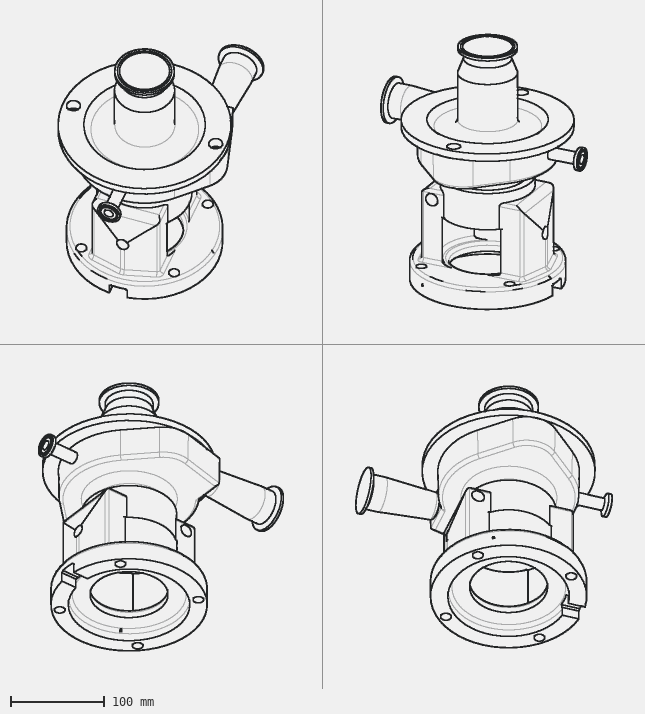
import cadquery as cq
import math

base_top = 24.3
hub_bottom = 78.5
leg_top = 108.5
hub_top = 120.7
casing_bottom = 140.0
flange_bottom = 176.3
flange_top = 185.0
overall_height = 270.0

overlap = 2.7
margin = 0.3

base_radius = 83.5
base_edge_fillet = 3.5
base_bore_radius = 41.5
base_bore_fillet = 3.5
base_pocket_radius = 64.8
base_pocket_depth = 13.5
base_pocket_fillet = 4.0
base_hole_circle = 74.5
base_hole_radius = 5.7
notch_width = 20.2
notch_height = 13.0
notch_corner = 2.0
vent_radius = 1.0
vent_angle = 150.0

leg_half_width = 38.3
leg_ridge_offset = 70.0
leg_ridge_width = 4.0
leg_face_angle = 15.0
roof_apex_height = 68.0
leg_inner_radius = 51.8
leg_corner_fillet = 3.5
leg_top_fillet = 10.0
leg_foot_fillet = 4.0
leg_root = base_top - overlap
leg_hole_height = 66.5
leg_hole_radius = 6.8
leg_slit_width = 2.5
cross_hole_offset = 47.5
cross_hole_height = 97.2
cross_hole_radius = 7.0

hub_radius = 50.8
collar_radius = 41.5
collar_fillet = 9.7

casing_radius = 75.5
casing_half_length = 93.0
casing_draft = 1.2
casing_fillet = 4.0
block_face = 62.0
block_corner_x = 78.0

flange_radius = 92.3
dish_rim_radius = 64.8
dish_wall_radius = 57.5
dish_wall_depth = dish_rim_radius - dish_wall_radius
dish_low_radius = 46.7
dish_depth = 12.5
bolt_offset = 80.7
bolt_recess_radius = 7.3
bolt_recess_depth = 12.2
bolt_hole_radius = 5.5
bolt_hole_depth = 27.0

neck_radius = 32.0
neck_shoulder = 239.5
neck_cone_top = 256.0
inlet_tube_radius = 25.6
inlet_rim_radius = 31.9
inlet_rim_thickness = 3.2
inlet_rim_taper = 2.0
inlet_groove_radius = 27.8
inlet_groove_half_width = 1.0

outlet_x = 58.0
outlet_z = 157.5
outlet_end = 144.0
outlet_rim_radius = 25.5
outlet_rim_thickness = 3.0
outlet_rim_taper = 2.5
outlet_tube_radius = 19.2
outlet_straight_length = 20.2
outlet_small_radius = 15.0
outlet_round = 4.3
outlet_root = block_face - 3 * overlap

drain_z = 160.5
drain_end = 112.5
drain_rim_radius = 12.7
drain_rim_thickness = 3.8
drain_rim_taper = 2.7
drain_tube_radius = 6.8
drain_bore_radius = 5.0
drain_groove_radius = 9.7
drain_groove_half_width = 0.8
drain_root = casing_radius - 2 * overlap


def cylinder(radius, bottom, top, x=0.0, y=0.0):
    return cq.Workplane("XY", origin=(x, y, bottom)).circle(radius).extrude(top - bottom)


def spin(profile):
    """Close a radius-height profile and revolve it about the Z axis."""
    return profile.close().revolve(360, (0, 0, 0), (0, 1, 0))


def ferrule(path, end, rim_radius, tube_radius, rim_thickness, rim_taper):
    """Continue a profile along the tube, out to the clamp rim and back to the axis."""
    return (
        path.lineTo(tube_radius, end - rim_thickness - rim_taper)
        .lineTo(rim_radius, end - rim_thickness)
        .lineTo(rim_radius, end)
        .lineTo(0, end)
    )


def gasket_groove(end, radius, half_width):
    """Ring with a round section, cut into the end face of a ferrule."""
    section = cq.Workplane("XZ").center(radius, end).circle(half_width)
    return section.revolve(360, (-radius, 0, 0), (-radius, 1, 0))


def make_base():
    return cylinder(base_radius, 0, base_top).faces(">Z").edges().fillet(base_edge_fillet)


def make_front_leg():
    """Common volume of a plan outline, a side outline with a sloping roof and a front outline."""
    slope = math.tan(math.radians(leg_face_angle))
    half_ridge = leg_ridge_width / 2
    corner_offset = leg_ridge_offset - slope * (leg_half_width - half_ridge)
    plan = (
        cq.Workplane("XY", origin=(0, 0, leg_root))
        .polyline(
            [
                (-leg_half_width, 0),
                (-leg_half_width, -corner_offset),
                (-half_ridge, -leg_ridge_offset),
                (half_ridge, -leg_ridge_offset),
                (leg_half_width, -corner_offset),
                (leg_half_width, 0),
            ]
        )
        .close()
        .extrude(leg_top - leg_root)
    )
    corners = cq.selectors.BoxSelector(
        (-leg_half_width - margin, -corner_offset - margin, leg_root),
        (leg_half_width + margin, -corner_offset + margin, leg_top),
    )
    plan = plan.edges("|Z").edges(corners).fillet(leg_corner_fillet)

    roof_offset = leg_ridge_offset - slope * (leg_top - roof_apex_height)
    side = (
        cq.Workplane("YZ", origin=(-leg_half_width, 0, 0))
        .polyline(
            [
                (0, leg_root),
                (-leg_ridge_offset, leg_root),
                (-leg_ridge_offset, roof_apex_height),
                (-roof_offset, leg_top),
                (0, leg_top),
            ]
        )
        .close()
        .extrude(2 * leg_half_width)
    )
    side = side.faces(">Z").edges("<Y").fillet(leg_top_fillet)

    front_height = leg_top - leg_root
    front = cq.Workplane("XY", origin=(0, 0, leg_root + front_height / 2)).box(
        2 * leg_half_width, 2 * leg_ridge_offset, front_height
    )
    front = front.faces(">Z").edges("|Y").fillet(leg_corner_fillet)
    leg = plan.intersect(side).intersect(front)
    return leg.cut(cylinder(leg_inner_radius, leg_root, hub_bottom))


def make_stand():
    front_leg = make_front_leg()
    rear_leg = front_leg.rotate((0, 0, 0), (0, 0, 1), 180)
    stand = make_base().union(front_leg).union(rear_leg)
    foot_edges = cq.selectors.BoxSelector(
        (-leg_half_width - margin, -leg_ridge_offset - margin, base_top - margin),
        (leg_half_width + margin, leg_ridge_offset + margin, base_top + margin),
    )
    return stand.edges(foot_edges).fillet(leg_foot_fillet)


def cut_base_openings(stand):
    """Rounded bore, pocket in the underside, four bolt holes, the notch on the -Y side and a vent."""
    bore_mouth = base_bore_radius + base_bore_fillet
    fillet_mid = base_bore_fillet * (1 - math.sqrt(0.5))
    bore = spin(
        cq.Workplane("XZ")
        .lineTo(base_bore_radius, 0)
        .lineTo(base_bore_radius, base_top - base_bore_fillet)
        .threePointArc((base_bore_radius + fillet_mid, base_top - fillet_mid), (bore_mouth, base_top))
        .lineTo(0, base_top)
    )
    pocket = cylinder(base_pocket_radius, 0, base_pocket_depth)
    pocket = pocket.faces(">Z").edges().fillet(base_pocket_fillet)
    stand = stand.cut(bore).cut(pocket)
    for hole in range(4):
        angle = math.radians(45 + 90 * hole)
        x = base_hole_circle * math.cos(angle)
        y = base_hole_circle * math.sin(angle)
        stand = stand.cut(cylinder(base_hole_radius, 0, base_top, x, y))
    notch = (
        cq.Workplane("XY", origin=(0, -base_radius / 2, notch_height / 2))
        .box(notch_width, base_radius, notch_height)
        .faces(">Z")
        .edges("|Y")
        .chamfer(notch_corner)
    )
    vent_inner_end = base_pocket_radius - base_pocket_fillet
    vent = (
        cq.Workplane("YZ", origin=(vent_inner_end, 0, base_top / 2))
        .circle(vent_radius)
        .extrude(base_radius - vent_inner_end)
        .rotate((0, 0, 0), (0, 0, 1), vent_angle)
    )
    return stand.cut(notch).cut(vent)


def cut_leg_openings(stand):
    """Round hole through the front leg and slit through the rear leg."""
    leg_hole = (
        cq.Workplane("XZ", origin=(0, 0, leg_hole_height))
        .circle(leg_hole_radius)
        .extrude(leg_ridge_offset)
    )
    slit = cq.Workplane("XY", origin=(0, leg_ridge_offset / 2, leg_hole_height)).box(
        leg_slit_width, leg_ridge_offset, 2 * leg_hole_radius
    )
    return stand.cut(leg_hole).cut(slit)


def make_cross_hole():
    """Hole along X through the rear leg and the hub wall behind it."""
    return (
        cq.Workplane("YZ")
        .center(cross_hole_offset, cross_hole_height)
        .circle(cross_hole_radius)
        .extrude(leg_half_width, both=True)
    )


def make_hub():
    """Hub and collar, blending into the underside of the casing with a concave round."""
    casing_inside = casing_bottom + overlap
    fillet_low = casing_bottom - collar_fillet
    fillet_out = collar_radius + collar_fillet
    fillet_mid = collar_fillet * math.sqrt(0.5)
    return spin(
        cq.Workplane("XZ")
        .moveTo(0, hub_bottom)
        .lineTo(hub_radius, hub_bottom)
        .lineTo(hub_radius, hub_top)
        .lineTo(collar_radius, hub_top)
        .lineTo(collar_radius, fillet_low)
        .threePointArc((fillet_out - fillet_mid, fillet_low + fillet_mid), (fillet_out, casing_bottom))
        .lineTo(fillet_out, casing_inside)
        .lineTo(0, casing_inside)
    )


def make_casing():
    """Round body with flats at 45 degrees running tangent into the two bolt bosses."""
    diagonal = math.sqrt(0.5)
    boss_radius = (casing_radius - casing_half_length * diagonal) / (1 - diagonal)
    boss_x = casing_half_length - boss_radius
    body_point = casing_radius * diagonal
    boss_point_x = boss_x + boss_radius * diagonal
    boss_point_y = boss_radius * diagonal
    corner_dx = block_corner_x - boss_x
    corner_angle = math.atan2(block_face, corner_dx)
    tangent_angle = corner_angle - math.acos(boss_radius / math.hypot(corner_dx, block_face))
    block_tangent = (
        boss_x + boss_radius * math.cos(tangent_angle),
        boss_radius * math.sin(tangent_angle),
    )
    block_inner_x = math.sqrt(casing_radius**2 - block_face**2)
    outline = (
        cq.Workplane("XY", origin=(0, 0, flange_bottom))
        .moveTo(body_point, -body_point)
        .threePointArc((0, -casing_radius), (-body_point, -body_point))
        .lineTo(-boss_point_x, -boss_point_y)
        .threePointArc((-casing_half_length, 0), (-boss_point_x, boss_point_y))
        .lineTo(-body_point, body_point)
        .threePointArc((0, casing_radius), (block_inner_x, block_face))
        .lineTo(block_corner_x, block_face)
        .lineTo(*block_tangent)
        .threePointArc((casing_half_length, 0), (boss_point_x, -boss_point_y))
        .close()
    )
    casing = outline.extrude(flange_bottom - casing_bottom, taper=casing_draft)
    casing = casing.mirror("XY", (0, 0, flange_bottom))
    return casing.faces("<Z").edges().fillet(casing_fillet)


def make_flange():
    return cylinder(flange_radius, flange_bottom, flange_top)


def cut_dish(body):
    """Annular dish around the inlet neck: a conical wall and a round floor."""
    dish = spin(
        cq.Workplane("XZ")
        .moveTo(neck_radius, flange_top)
        .lineTo(dish_rim_radius, flange_top)
        .lineTo(dish_wall_radius, flange_top - dish_wall_depth)
        .threePointArc((dish_low_radius, flange_top - dish_depth), (neck_radius, flange_top))
    )
    return body.cut(dish)


def cut_bolt_holes(body):
    """Two blind holes with a wider mouth and a conical end."""
    straight_end = flange_top - bolt_hole_depth
    mouth_end = flange_top - bolt_recess_depth
    for x in (-bolt_offset, bolt_offset):
        hole = spin(
            cq.Workplane("XZ")
            .moveTo(0, flange_top)
            .lineTo(bolt_recess_radius, flange_top)
            .lineTo(bolt_recess_radius, mouth_end)
            .lineTo(bolt_hole_radius, mouth_end)
            .lineTo(bolt_hole_radius, straight_end)
            .lineTo(0, straight_end - bolt_hole_radius / 2)
        )
        body = body.cut(hole.translate((x, 0, 0)))
    return body


def make_inlet():
    root = flange_top - dish_depth
    path = (
        cq.Workplane("XZ")
        .moveTo(0, root)
        .lineTo(neck_radius, root)
        .lineTo(neck_radius, neck_shoulder)
        .lineTo(inlet_tube_radius, neck_cone_top)
    )
    inlet = spin(
        ferrule(
            path,
            overall_height,
            inlet_rim_radius,
            inlet_tube_radius,
            inlet_rim_thickness,
            inlet_rim_taper,
        )
    )
    return inlet.cut(gasket_groove(overall_height, inlet_groove_radius, inlet_groove_half_width))


def make_outlet():
    """Tapered tube with a rounded inner end; built upright, then laid along +Y."""
    path = (
        cq.Workplane("XZ")
        .moveTo(0, outlet_root)
        .lineTo(outlet_small_radius - outlet_round, outlet_root)
        .lineTo(outlet_small_radius - outlet_round, block_face)
        .radiusArc((outlet_small_radius, block_face + outlet_round), -outlet_round)
        .lineTo(outlet_tube_radius, outlet_end - outlet_straight_length)
    )
    outlet = spin(
        ferrule(
            path,
            outlet_end,
            outlet_rim_radius,
            outlet_tube_radius,
            outlet_rim_thickness,
            outlet_rim_taper,
        )
    )
    return outlet.rotate((0, 0, 0), (1, 0, 0), -90).translate((outlet_x, 0, outlet_z))


def make_drain():
    """Thin bored tube; built upright, then laid along -Y."""
    path = cq.Workplane("XZ").moveTo(0, drain_root).lineTo(drain_tube_radius, drain_root)
    drain = spin(
        ferrule(
            path,
            drain_end,
            drain_rim_radius,
            drain_tube_radius,
            drain_rim_thickness,
            drain_rim_taper,
        )
    )
    drain = drain.cut(cylinder(drain_bore_radius, casing_radius, drain_end))
    drain = drain.cut(gasket_groove(drain_end, drain_groove_radius, drain_groove_half_width))
    return drain.rotate((0, 0, 0), (1, 0, 0), 90).translate((0, 0, drain_z))


stand = cut_leg_openings(cut_base_openings(make_stand()))
body = make_casing().union(make_flange())
body = cut_bolt_holes(cut_dish(body))
body = body.union(make_inlet()).union(make_outlet()).union(make_drain())
result = body.union(make_hub()).union(stand).cut(make_cross_hole())